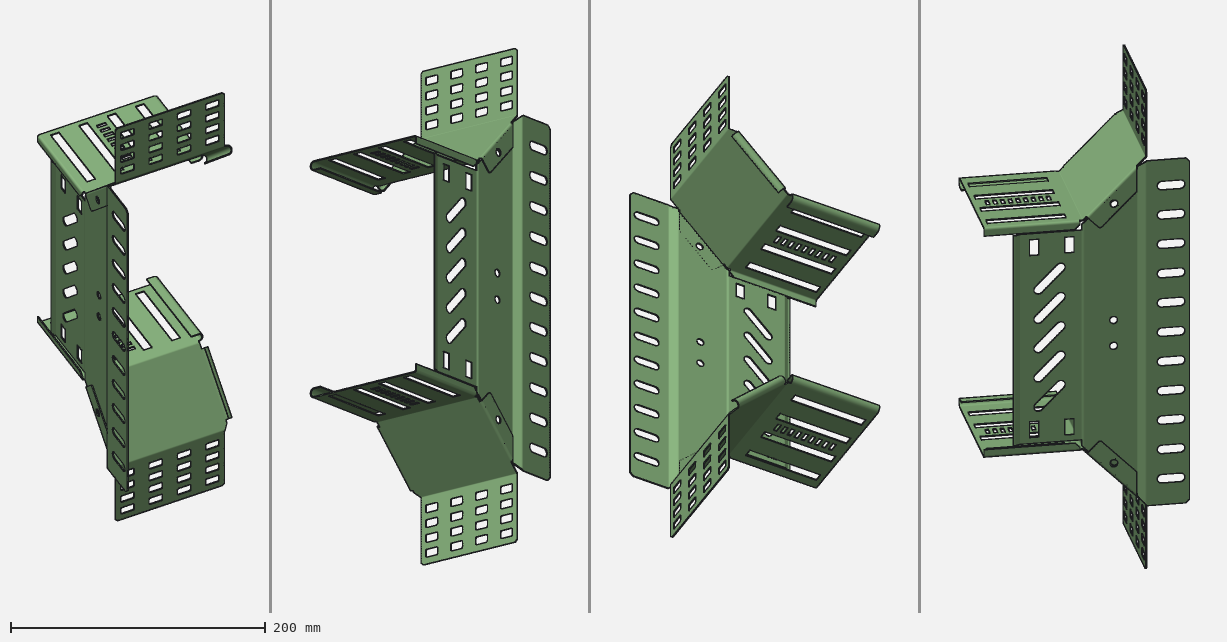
import cadquery as cq
import math

SHEET = 1.02
BEND_RADIUS = 2.0
SLOPE_ANGLE = 45.0
SLOPE_COSINE = math.cos(math.radians(SLOPE_ANGLE))

LEFT_X = -81.5
RIGHT_X = 81.5
HALF_HEIGHT = 204.0
BACK_Y = 55.5
FRONT_Y = -55.5

WALL_Z = 98.0
ELBOW_X = -2.5
SLOPE_END_Z = 148.0
SLOPE_RUN = SLOPE_END_Z - WALL_Z
SLOPE_LENGTH = SLOPE_RUN / SLOPE_COSINE
TAB_X = ELBOW_X + SLOPE_RUN
LIP_FRONT_Y = -51.0
WEB_FRONT_Y = LIP_FRONT_Y + BEND_RADIUS
CURL_RADIUS = 4.0
WEB_BACK_Y = BACK_Y - CURL_RADIUS
CURL_TAIL = 6.0
LIP_DEPTH = 7.0
LIP_END_X = -5.0
LIP_CORNER = 4.0
EAR_DEPTH = 15.0
EAR_START = 4.0
EAR_END_X = 40.5
EAR_CORNER = 2.0
CURL_END_X = -4.5
SLOPE_CURL_START_X = 1.0
SLOPE_CURL_END_X = 42.5

FLANGE_SLOT_COUNT = 11
FLANGE_SLOT_SPAN = 250.0
SLOT_PITCH = FLANGE_SLOT_SPAN / (FLANGE_SLOT_COUNT - 1)
SLOTS_ACROSS = 4

WALL_SLOT_LENGTH = 63.0
WALL_SLOT_WIDTH = 7.5
WALL_SLOT_X = -45.7
WALL_SLOT_Y = -0.5
VENT_COUNT = 9
VENT_PITCH = 6.0
VENT_WIDTH = 3.0
VENT_HEIGHT = 7.8
VENT_X = -45.0

TAB_BACK_Y = 47.5
TAB_CORNER = 2.0
TAB_SLOT_LENGTH = 12.0
TAB_SLOT_WIDTH = 6.5
TAB_SLOT_CORNER = 1.2
TAB_SLOT_ROWS = 4
TAB_SLOT_ROW_PITCH = 12.2
TAB_SLOT_Y = -1.0
TAB_SLOT_Z = 176.8

FLOOR_Y = LIP_FRONT_Y + SHEET
STRIP_RISE = 1.0
STRIP_Y = FLOOR_Y + STRIP_RISE
STRIP_LEFT_X = -58.5
STRIP_HALF = 89.5
LIP_JOGGLE_X = -56.5
LIP_JOGGLE_RUN = 3.5
FLOOR_JOGGLE_X = -3.3
FLOOR_JOGGLE_RUN = 1.5
STEP_X = 41.2
FLANGE_HALF = 147.0
FLANGE_CORNER = 3.0

FLANGE_SLOT_X = 67.0
FLANGE_SLOT_LENGTH = 22.0
SLOT_WIDTH = 7.5
DIAGONAL_COUNT = 5
DIAGONAL_X = -29.0
DIAGONAL_LENGTH = 32.3
WINDOW_XS = (-41.2, -13.0)
WINDOW_Z = 77.5
WINDOW_WIDTH = 7.5
WINDOW_HEIGHT = 13.5
HOLE_DIAMETER = 6.0
HOLE_X = 22.0
CENTRE_HOLE_Z = 11.0
EAR_HOLE_Z = 110.5
EAR_HOLE_SHIFT = 1.0

FAR = 408.3


def sheet_faces(path):
    """Corners of both faces of a bent sheet: the path and its mitred offset to the left."""
    normals = []
    for (x0, y0), (x1, y1) in zip(path, path[1:]):
        length = math.hypot(x1 - x0, y1 - y0)
        normals.append(((y0 - y1) / length, (x1 - x0) / length))
    offset = []
    for (x, y), (ax, ay), (bx, by) in zip(path, normals[:1] + normals, normals + normals[-1:]):
        mitre = SHEET / (1 + ax * bx + ay * by)
        offset.append((x + mitre * (ax + bx), y + mitre * (ay + by)))
    return path, offset


def bent_sheet(workplane, path, width):
    """Sheet that follows a path on a workplane, with every bend rounded."""
    near_side, far_side = sheet_faces(path)
    sheet = workplane.polyline(near_side + far_side[::-1]).close().extrude(width)
    for i in range(1, len(path) - 1):
        (x0, y0), (x1, y1), (x2, y2) = path[i - 1:i + 2]
        left_turn = (x1 - x0) * (y2 - y1) > (y1 - y0) * (x2 - x1)
        inside, outside = (far_side, near_side) if left_turn else (near_side, far_side)
        for face, radius in ((inside, BEND_RADIUS - SHEET), (outside, BEND_RADIUS)):
            bend = workplane.plane.toWorldCoords((*face[i], width / 2))
            sheet = sheet.edges(cq.selectors.NearestToPointSelector(bend.toTuple())).fillet(radius)
    return sheet


def spread(count, pitch, middle=0.0):
    """Evenly pitched positions about a middle."""
    return [middle + pitch * (i - (count - 1) / 2) for i in range(count)]


def box_between(x, y, z):
    """Box from three (low, high) ranges."""
    lengths = [high - low for low, high in (x, y, z)]
    return cq.Workplane(cq.Solid.makeBox(*lengths, cq.Vector(x[0], y[0], z[0])))


def along_y(points):
    """XZ workplane with the given points, for cuts through the base."""
    return cq.Workplane("XZ").workplane(offset=-FAR / 2).pushPoints(points)


def on_slope(body):
    """Turn a body built along the straight wall's outer edge onto the sloping wall."""
    return body.rotate((0, 0, 0), (0, 1, 0), -SLOPE_ANGLE).translate((ELBOW_X, 0, WALL_Z))



def bend_part(start, end, y, radius, y_range, depth):
    """Sheet bent about an X axis at y, kept within a range of Y and a depth below the wall face."""
    ring = (
        cq.Workplane("YZ", origin=(start, y, -radius))
        .circle(radius)
        .circle(radius - SHEET)
        .extrude(end - start)
    )
    return ring.intersect(box_between((start, end), y_range, (-depth, 0)))


def curl(start, end):
    """Back edge rolled through half a turn."""
    return bend_part(start, end, WEB_BACK_Y, CURL_RADIUS, (WEB_BACK_Y, BACK_Y), 2 * CURL_RADIUS)


def curl_tail(start, end):
    """Straight end of a rolled edge."""
    bottom = -2 * CURL_RADIUS
    return box_between((start, end), (WEB_BACK_Y - CURL_TAIL, WEB_BACK_Y), (bottom, bottom + SHEET))


def lip_bend(start, end):
    """Quarter bend from the front edge of a wall into its lip."""
    return bend_part(start, end, WEB_FRONT_Y, BEND_RADIUS, (LIP_FRONT_Y, WEB_FRONT_Y), BEND_RADIUS)


def lip_plate(start, end, depth):
    """Flat part of a lip, from its bend to its free edge."""
    return box_between((start, end), (LIP_FRONT_Y, LIP_FRONT_Y + SHEET), (-depth, -BEND_RADIUS))


def side_web():
    """Straight wall, sloping wall and end tab bent from one strip."""
    path = [(TAB_X, HALF_HEIGHT), (TAB_X, SLOPE_END_Z), (ELBOW_X, WALL_Z), (LEFT_X, WALL_Z)]
    web = bent_sheet(cq.Workplane("XZ", origin=(0, WEB_BACK_Y, 0)), path, WEB_BACK_Y - WEB_FRONT_Y)
    shoulder = WEB_BACK_Y - TAB_BACK_Y
    above_tab = (
        cq.Workplane("YZ", origin=(-FAR / 2, 0, 0))
        .polyline([
            (WEB_BACK_Y, SLOPE_END_Z - shoulder),
            (TAB_BACK_Y, SLOPE_END_Z),
            (TAB_BACK_Y, HALF_HEIGHT),
            (WEB_BACK_Y, HALF_HEIGHT),
        ])
        .close()
        .extrude(FAR)
    )
    return web.cut(above_tab).edges("|X and >Z").chamfer(TAB_CORNER)


def straight_edges():
    """Curl and lip of the straight wall."""
    lip = lip_plate(LEFT_X, LIP_END_X, LIP_DEPTH).edges("|Y and >X and <Z").chamfer(LIP_CORNER)
    rolled = curl(LEFT_X, CURL_END_X).union(curl_tail(LEFT_X, CURL_END_X))
    edges = rolled.union(lip_bend(LEFT_X, LIP_END_X)).union(lip)
    return edges.translate((0, 0, WALL_Z))


def sloping_edges():
    """Curl and ear of the sloping wall; the ear stops where the base steps down."""
    curl_start = (SLOPE_CURL_START_X - ELBOW_X) / SLOPE_COSINE
    curl_end = (SLOPE_CURL_END_X - ELBOW_X) / SLOPE_COSINE
    ear = lip_plate(EAR_START, SLOPE_LENGTH, EAR_DEPTH).edges("|Y and <X and <Z").fillet(EAR_CORNER)
    ear = on_slope(ear.union(lip_bend(EAR_START, SLOPE_LENGTH)))
    ear = ear.intersect(box_between((LEFT_X, EAR_END_X), (FRONT_Y, BACK_Y), (0, HALF_HEIGHT)))
    return on_slope(curl(curl_start, curl_end)).union(ear)


def wall_openings():
    """Long slots and a row of vents through the straight wall."""
    slots = (
        cq.Workplane("XY")
        .pushPoints([(WALL_SLOT_X, y) for y in spread(SLOTS_ACROSS, SLOT_PITCH, WALL_SLOT_Y)])
        .rect(WALL_SLOT_LENGTH, WALL_SLOT_WIDTH)
        .extrude(FAR)
    )
    vents = (
        cq.Workplane("XY")
        .pushPoints([(x, WALL_SLOT_Y) for x in spread(VENT_COUNT, VENT_PITCH, VENT_X)])
        .rect(VENT_WIDTH, VENT_HEIGHT)
        .extrude(FAR)
    )
    return slots.union(vents).intersect(
        box_between((LEFT_X, ELBOW_X), (FRONT_Y, BACK_Y), (WALL_Z - 2 * SHEET, WALL_Z + SHEET))
    )


def tab_openings():
    """Grid of slots through the end tab."""
    rows = spread(TAB_SLOT_ROWS, TAB_SLOT_ROW_PITCH, TAB_SLOT_Z)
    columns = spread(SLOTS_ACROSS, SLOT_PITCH, TAB_SLOT_Y)
    return (
        cq.Workplane("YZ", origin=(TAB_X - SHEET, 0, 0))
        .pushPoints([(y, z) for y in columns for z in rows])
        .rect(TAB_SLOT_LENGTH, TAB_SLOT_WIDTH)
        .extrude(3 * SHEET)
        .edges("|X")
        .fillet(TAB_SLOT_CORNER)
    )


def make_side():
    """Upper side plate."""
    ear_hole = along_y([(HOLE_X, EAR_HOLE_Z)]).circle(HOLE_DIAMETER / 2).extrude(FAR)
    ear_hole = ear_hole.intersect(
        box_between((LEFT_X, RIGHT_X), (FRONT_Y, WEB_FRONT_Y), (0, HALF_HEIGHT))
    )
    return (
        side_web()
        .union(straight_edges())
        .union(sloping_edges())
        .cut(wall_openings())
        .cut(tab_openings())
        .cut(ear_hole)
    )


def base_sheet():
    """Base section run over the full flange height."""
    step = FLOOR_Y - FRONT_Y
    path = [
        (STRIP_LEFT_X, LIP_FRONT_Y),
        (LIP_JOGGLE_X, LIP_FRONT_Y),
        (LIP_JOGGLE_X + LIP_JOGGLE_RUN, STRIP_Y),
        (FLOOR_JOGGLE_X, STRIP_Y),
        (FLOOR_JOGGLE_X + FLOOR_JOGGLE_RUN, FLOOR_Y),
        (STEP_X, FLOOR_Y),
        (STEP_X + step, FRONT_Y),
        (RIGHT_X, FRONT_Y),
    ]
    sheet = bent_sheet(cq.Workplane("XY", origin=(0, 0, -FLANGE_HALF)), path, 2 * FLANGE_HALF)
    return sheet.edges("|Y and >X").chamfer(FLANGE_CORNER)


def base_blank():
    """Front outline of the base: it clears the bends of both side plates."""
    slope_offset = WALL_Z - ELBOW_X
    floor_offset = slope_offset - BEND_RADIUS / SLOPE_COSINE
    step_offset = slope_offset - SHEET
    upper = [
        (STRIP_LEFT_X, STRIP_HALF),
        (FLOOR_JOGGLE_X, STRIP_HALF),
        (FLOOR_JOGGLE_X, FLOOR_JOGGLE_X + floor_offset),
        (STEP_X, STEP_X + floor_offset),
        (STEP_X, STEP_X + step_offset),
        (FLANGE_HALF - step_offset, FLANGE_HALF),
        (RIGHT_X, FLANGE_HALF),
    ]
    lower = [(x, -z) for x, z in reversed(upper)]
    return (
        cq.Workplane("XZ", origin=(0, BACK_Y, 0))
        .polyline(upper + lower)
        .close()
        .extrude(BACK_Y - FRONT_Y)
    )


def base_openings():
    """Flange slots, diagonal slots, windows and round holes."""
    flange_points = [(FLANGE_SLOT_X, z) for z in spread(FLANGE_SLOT_COUNT, SLOT_PITCH)]
    flange_slots = along_y(flange_points).slot2D(FLANGE_SLOT_LENGTH, SLOT_WIDTH).extrude(FAR)
    diagonal_points = [(DIAGONAL_X, z) for z in spread(DIAGONAL_COUNT, SLOT_PITCH)]
    diagonals = along_y(diagonal_points).slot2D(DIAGONAL_LENGTH, SLOT_WIDTH, SLOPE_ANGLE).extrude(FAR)
    window_points = [(x, z) for x in WINDOW_XS for z in (-WINDOW_Z, WINDOW_Z)]
    windows = along_y(window_points).rect(WINDOW_WIDTH, WINDOW_HEIGHT).extrude(FAR)
    hole_points = []
    for side in (-1, 1):
        hole_points.append((HOLE_X, side * CENTRE_HOLE_Z))
        hole_points.append((HOLE_X + EAR_HOLE_SHIFT, side * (EAR_HOLE_Z - EAR_HOLE_SHIFT)))
    holes = along_y(hole_points).circle(HOLE_DIAMETER / 2).extrude(FAR)
    return flange_slots.union(diagonals).union(windows).union(holes)


def make_base():
    """Base plate."""
    return base_sheet().intersect(base_blank()).cut(base_openings())


base = make_base()
upper_side = make_side()
sides = [upper_side, upper_side.mirror("XY")]
result = cq.Compound.makeCompound([base.val(), *[side.val() for side in sides]])